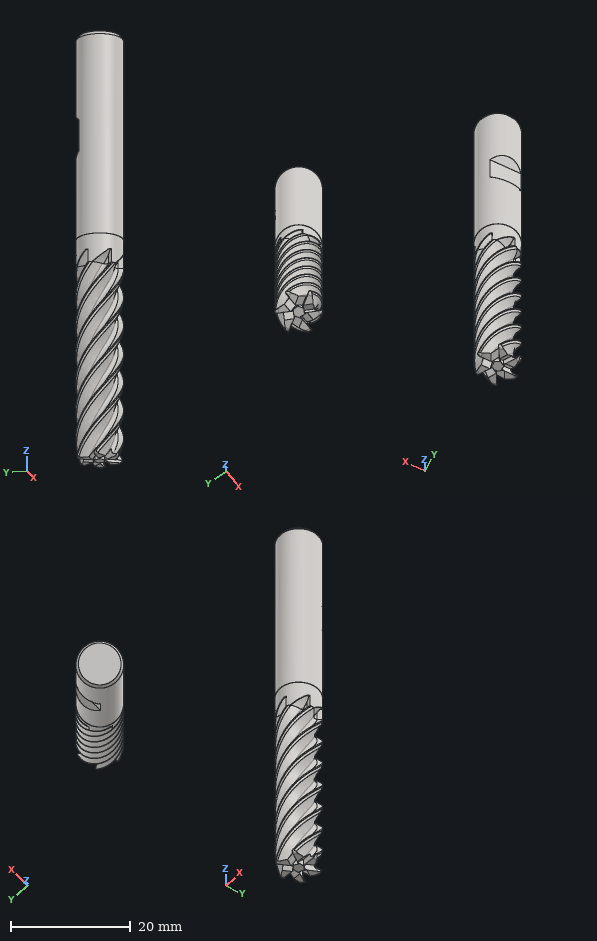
import cadquery as cq
import math

total_length = 75.0
diameter = 8.0
neck_diameter = 7.95
cutting_length = 34.05
neck_top = 39.0
shank_chamfer_height = 0.7
shank_chamfer_width = 0.45

flat_depth = 1.3
flat_length = 5.5
flat_center_z = 57.1

tooth_count = 6
helix_lead = 30.0
margin_angle = 4.0
heel_angle = 12.0
heel_drop = 0.15
back_angle = 27.0
back_radius = 3.15
floor_angle = 40.0
core_radius = 2.7
root_angle = 55.0
root_radius = 2.8
rake_angle = 59.0
rake_radius = 3.1
corner_radius = 0.6

runout_height = 2.3
runout_twist = 42.0

gash_height = 1.5
gash_width = 1.05
gash_wall_offset = 0.3
gash_inner_radius = 0.9

radius = diameter / 2
neck_radius = neck_diameter / 2
tooth_pitch = 360 / tooth_count
helix_twist = 360 * cutting_length / helix_lead


def polar(distance, degrees):
    """Point at the given distance from the tool axis."""
    angle = math.radians(degrees)
    return distance * math.cos(angle), distance * math.sin(angle)


def add_flute(sketch, start):
    """Continue an outline from a tooth heel, along the flute, up the rake face to the next edge."""
    return (
        sketch.threePointArc(polar(back_radius, start + back_angle), polar(core_radius, start + floor_angle))
        .threePointArc(polar(root_radius, start + root_angle), polar(rake_radius, start + rake_angle))
        .lineTo(*polar(radius, start + tooth_pitch))
    )


def make_shank():
    """Plain shank with a clamping flat, above a slightly relieved neck that holds the run-outs."""
    shank = (
        cq.Workplane("XZ")
        .moveTo(0, cutting_length)
        .lineTo(neck_radius, cutting_length)
        .lineTo(neck_radius, neck_top)
        .lineTo(radius, neck_top)
        .lineTo(radius, total_length - shank_chamfer_height)
        .lineTo(radius - shank_chamfer_width, total_length)
        .lineTo(0, total_length)
        .close()
        .revolve(360, (0, 0, 0), (0, 1, 0))
    )
    shank = shank.cut(make_flat_cutter())
    runout = make_runout_cutter()
    for index in range(tooth_count):
        shank = shank.cut(runout.rotate((0, 0, 0), (0, 0, 1), index * tooth_pitch))
    return shank


def make_flat_cutter():
    """Trapezoid prism across the shank, opening outward at 45 degrees."""
    half_floor = flat_length / 2
    cutter_depth = 2 * flat_depth
    half_mouth = half_floor + cutter_depth
    floor_y = radius - flat_depth
    mouth_y = floor_y + cutter_depth
    return (
        cq.Workplane("YZ")
        .moveTo(floor_y, flat_center_z - half_floor)
        .lineTo(mouth_y, flat_center_z - half_mouth)
        .lineTo(mouth_y, flat_center_z + half_mouth)
        .lineTo(floor_y, flat_center_z + half_floor)
        .close()
        .extrude(radius, both=True)
    )


def flute_section():
    """Closed flute section at the top of the teeth, open past the outside of the tool."""
    outside = 2 * radius
    heel = polar(radius - heel_drop, helix_twist + heel_angle)
    sketch = cq.Workplane("XY", origin=(0, 0, cutting_length)).moveTo(*heel)
    return (
        add_flute(sketch, helix_twist)
        .lineTo(*polar(outside, helix_twist + tooth_pitch))
        .lineTo(*polar(outside, helix_twist + heel_angle))
        .close()
    )


def make_runout_cutter():
    """Flute end whose back keeps winding while its rake side runs straight up."""
    winding = flute_section().twistExtrude(runout_height, runout_twist)
    straight = flute_section().extrude(runout_height)
    return winding.intersect(straight)


def make_cutting_part():
    """Right-hand helical teeth with rounded end corners and end gashes."""
    section = cq.Workplane("XY").moveTo(radius, 0)
    for index in range(tooth_count):
        start = index * tooth_pitch
        section = section.threePointArc(
            polar(radius, start + margin_angle / 2), polar(radius, start + margin_angle)
        ).lineTo(*polar(radius - heel_drop, start + heel_angle))
        section = add_flute(section, start)
    teeth = section.close().twistExtrude(cutting_length, helix_twist)

    end_cutters = [make_corner_cutter()]
    gash = make_gash_cutter()
    for index in range(tooth_count):
        end_cutters.append(gash.rotate((0, 0, 0), (0, 0, 1), index * tooth_pitch))
    return cq.Workplane(teeth.val().cut(*[cutter.val() for cutter in end_cutters]))


def make_corner_cutter():
    """Ring that rounds the outer corner of the cutting end."""
    outside = radius + corner_radius
    arc_inset = corner_radius * (1 - math.sqrt(0.5))
    return (
        cq.Workplane("XZ")
        .moveTo(radius - corner_radius, 0)
        .threePointArc((radius - arc_inset, arc_inset), (radius, corner_radius))
        .lineTo(outside, corner_radius)
        .lineTo(outside, -corner_radius)
        .lineTo(radius - corner_radius, -corner_radius)
        .close()
        .revolve(360, (0, 0, 0), (0, 1, 0))
    )


def make_gash_cutter():
    """Radial wedge at a cutting edge, with an upright wall that trims the helical tooth face."""
    return (
        cq.Workplane("YZ", origin=(gash_inner_radius, 0, 0))
        .moveTo(gash_wall_offset, 0)
        .lineTo(gash_wall_offset, gash_height)
        .lineTo(-gash_width, 0)
        .close()
        .extrude(radius)
    )


shank = make_shank()
cutting_part = make_cutting_part()

result = cq.Compound.makeCompound([*shank.solids().vals(), *cutting_part.solids().vals()])